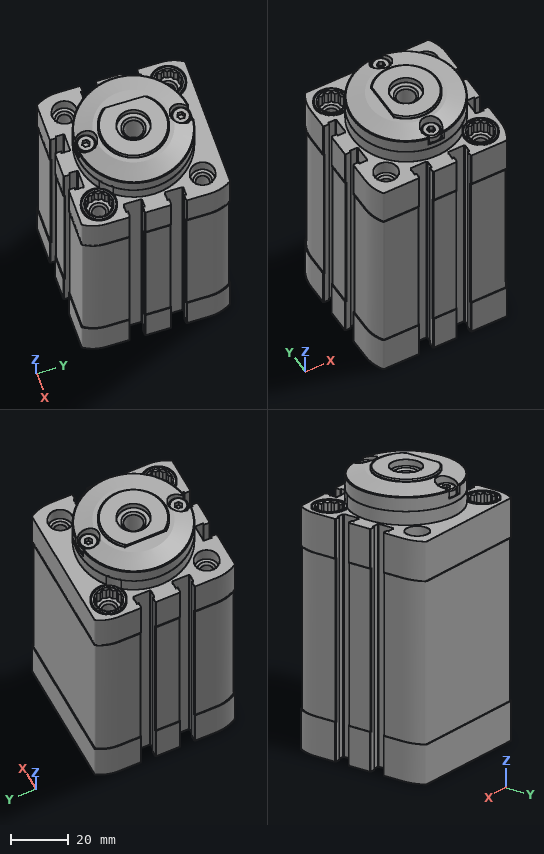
import cadquery as cq
import math

TOTAL_HEIGHT = 105.0
HOUSING_TOP = 91.6
COLLAR_TOP = 96.7
CAP_RIM = 102.2
CAP_TOP = 104.2
END_BLOCK_HEIGHT = 15.0

HOUSING_WIDTH = 54.5
HALF_WIDTH = HOUSING_WIDTH / 2
TUBE_INSET = 0.3
SIDE_FLAT_HALF = 19.0
FRONT_FLAT_HALF = 24.8
CORNER_ROUNDING = 0.7

SLOT_OFFSET = 7.6
SLOT_MOUTH = 5.5
SLOT_INNER = 6.8
SLOT_DEPTH = 5.5
SLOT_LIP = 2.3
SLOT_CHAMFER = 0.3
SLOT_SIDES = (0, -90, 90)

CORNER_OFFSET = 19.0
CORNER_THROUGH = 4.9
CORNER_CHAMFER_DIAMETER = 6.6
COUNTERBORE_DIAMETER = 9.0
COUNTERBORE_DEPTH = 5.4
HEAD_DIAMETER = 12.8
HEAD_GROOVE_INNER = 12.0
HEAD_GROOVE_DEPTH = 0.4
SOCKET_FLATS = 8.6
SOCKET_MOUTH = 10.4

COLLAR_DIAMETER = 42.5
CAP_DIAMETER = COLLAR_DIAMETER
CAP_EDGE_CHAMFER = 0.3
CAP_FLAT_DIAMETER = 28.6

ROD_DIAMETER = 25.0
ROD_FLAT = 9.6
ROD_CHAMFER = 0.5
ROD_BOTTOM = END_BLOCK_HEIGHT
ROD_RECESS_DIAMETER = 12.0
ROD_RECESS_DEPTH = 2.4
TAP_MOUTH = 8.6
TAP_DIAMETER = 7.0
TAP_DEPTH = 15.8
DRILL_POINT_ANGLE = 118

SCREW_OFFSET = 17.4
SCREW_SEAT = 98.9
SCREW_BORE = 8.0
SCREW_HEAD_DIAMETER = 7.0
SCREW_HEAD_HEIGHT = 2.8
SCREW_HEAD_CHAMFER = 0.5
SCREW_SHANK = 4.0
SCREW_LENGTH = 8.0
SCREW_HEX_FLATS = 2.5
SCREW_HEX_DEPTH = 2.0
WINDOW_INNER = 5.0
WINDOW_OUTER = 6.8
WINDOW_DEPTH = 0.7


def disc(diameter, bottom, top, x=0.0, y=0.0):
    """Upright cylinder between two levels."""
    return cq.Workplane("XY", origin=(x, y, bottom)).circle(diameter / 2).extrude(top - bottom)


def taper(bottom_diameter, top_diameter, bottom, top, x=0.0, y=0.0):
    """Upright cone frustum between two levels."""
    cone = cq.Solid.makeCone(bottom_diameter / 2, top_diameter / 2, top - bottom, cq.Vector(x, y, bottom))
    return cq.Workplane(cone)


def hexagon(across_flats, bottom, top, x=0.0, y=0.0, turn=0.0):
    """Upright hexagonal prism; at turn 0 two of its flats face +X and -X."""
    prism = cq.Workplane("XY").polygon(6, across_flats / math.cos(math.pi / 6)).extrude(top - bottom)
    return prism.rotate((0, 0, 0), (0, 0, 1), 30 + turn).translate((x, y, bottom))


def housing_block(inset, bottom, top):
    """Square block with bowed corners, drawn in from the full outline by inset."""
    side = HALF_WIDTH - inset
    end = FRONT_FLAT_HALF - inset
    rise = side - SIDE_FLAT_HALF
    bow = side - end
    bow_radius = (rise**2 + bow**2) / (2 * bow)
    half_turn = math.asin(rise / bow_radius) / 2
    mid_x = side - bow_radius * (1 - math.cos(half_turn))
    mid_y = SIDE_FLAT_HALF + bow_radius * math.sin(half_turn)
    outline = (
        cq.Workplane("XY", origin=(0, 0, bottom))
        .moveTo(side, -SIDE_FLAT_HALF)
        .lineTo(side, SIDE_FLAT_HALF)
        .threePointArc((mid_x, mid_y), (end, side))
        .lineTo(-end, side)
        .threePointArc((-mid_x, mid_y), (-side, SIDE_FLAT_HALF))
        .lineTo(-side, -SIDE_FLAT_HALF)
        .threePointArc((-mid_x, -mid_y), (-end, -side))
        .lineTo(end, -side)
        .threePointArc((mid_x, -mid_y), (side, -SIDE_FLAT_HALF))
        .close()
    )
    block = outline.extrude(top - bottom)
    return block.edges("|Z").edges("<Y or >Y").fillet(CORNER_ROUNDING)


def t_slot(x, face, bottom, top):
    """T-slot of the -Y side, cut in from a face at the given distance from the axis."""
    floor = -HALF_WIDTH + SLOT_DEPTH
    lip = -HALF_WIDTH + SLOT_LIP
    mouth = SLOT_MOUTH / 2
    wide_mouth = mouth + SLOT_CHAMFER
    inner = SLOT_INNER / 2
    right_side = [
        (wide_mouth, -face),
        (mouth, -face + SLOT_CHAMFER),
        (mouth, lip),
        (inner, lip),
        (inner, floor - SLOT_CHAMFER),
        (inner - SLOT_CHAMFER, floor),
    ]
    left_side = [(-across, y) for across, y in reversed(right_side)]
    slot = cq.Workplane("XY").polyline(right_side + left_side).close().extrude(top - bottom)
    return slot.translate((x, 0, bottom))


def profile_section(inset, bottom, top):
    """Length of the housing profile with the T-slots of its three slotted sides."""
    section = housing_block(inset, bottom, top)
    for turn in SLOT_SIDES:
        for x in (-SLOT_OFFSET, SLOT_OFFSET):
            slot = t_slot(x, HALF_WIDTH - inset, bottom, top)
            section = section.cut(slot.rotate((0, 0, 0), (0, 0, 1), turn))
    return section


def corner_passage(x, y, floor):
    """Through hole of a corner, with a chamfered start at the given floor level."""
    chamfer = (CORNER_CHAMFER_DIAMETER - CORNER_THROUGH) / 2
    hole = disc(CORNER_THROUGH, 0, floor, x, y)
    return hole.union(taper(CORNER_THROUGH, CORNER_CHAMFER_DIAMETER, floor - chamfer, floor, x, y))


def plain_corner(x, y):
    """Counterbored corner hole."""
    floor = HOUSING_TOP - COUNTERBORE_DEPTH
    return corner_passage(x, y, floor).union(disc(COUNTERBORE_DIAMETER, floor, HOUSING_TOP, x, y))


def socketed_corner(x, y):
    """Corner with a ring groove, a twelve-point socket and room for the head beside the collar."""
    floor = HOUSING_TOP - COUNTERBORE_DEPTH
    groove_floor = HOUSING_TOP - HEAD_GROOVE_DEPTH
    mouth_depth = (SOCKET_MOUTH - SOCKET_FLATS) / 2
    groove = disc(HEAD_DIAMETER, groove_floor, HOUSING_TOP, x, y).cut(
        taper(HEAD_DIAMETER, HEAD_GROOVE_INNER, groove_floor, HOUSING_TOP, x, y)
    )
    cutter = corner_passage(x, y, floor)
    for turn in (0, 30):
        cutter = cutter.union(hexagon(SOCKET_FLATS, floor, HOUSING_TOP, x, y, turn))
    cutter = cutter.union(taper(SOCKET_FLATS, SOCKET_MOUTH, HOUSING_TOP - mouth_depth, HOUSING_TOP, x, y))
    relief = disc(HEAD_DIAMETER, HOUSING_TOP, COLLAR_TOP, x, y)
    return [cutter, groove, relief]


def rod_shape():
    """D-shaped rod without its end details."""
    rod = disc(ROD_DIAMETER, ROD_BOTTOM, TOTAL_HEIGHT)
    rod = rod.faces(">Z").chamfer(ROD_CHAMFER)
    keep = cq.Workplane("XY").box(ROD_DIAMETER, ROD_DIAMETER, TOTAL_HEIGHT, centered=(False, True, False))
    return rod.intersect(keep.translate((-ROD_FLAT, 0, 0)))


def screw_shank(y):
    return disc(SCREW_SHANK, SCREW_SEAT - SCREW_LENGTH, SCREW_SEAT, 0, y)


def make_housing():
    tube_top = HOUSING_TOP - END_BLOCK_HEIGHT
    body = profile_section(0, 0, END_BLOCK_HEIGHT)
    body = body.union(profile_section(TUBE_INSET, END_BLOCK_HEIGHT, tube_top))
    body = body.union(profile_section(0, tube_top, HOUSING_TOP))
    body = body.union(disc(COLLAR_DIAMETER, HOUSING_TOP, COLLAR_TOP))
    for sign in (-1, 1):
        place = sign * CORNER_OFFSET
        body = body.cut(plain_corner(place, place))
        for cutter in socketed_corner(place, -place):
            body = body.cut(cutter)
        body = body.cut(screw_shank(sign * SCREW_OFFSET))
    return body.cut(rod_shape())


def screw_window():
    """Flared opening of the -Y screw bore through the cap's wall."""
    outer_y = -CAP_DIAMETER / 2
    inner_y = outer_y + WINDOW_DEPTH
    points = [
        (-WINDOW_OUTER / 2, outer_y),
        (WINDOW_OUTER / 2, outer_y),
        (WINDOW_INNER / 2, inner_y),
        (-WINDOW_INNER / 2, inner_y),
    ]
    return cq.Workplane("XY", origin=(0, 0, SCREW_SEAT)).polyline(points).close().extrude(CAP_TOP - SCREW_SEAT)


def make_cap():
    shoulder = CAP_RIM - CAP_EDGE_CHAMFER
    rim_diameter = CAP_DIAMETER - 2 * CAP_EDGE_CHAMFER
    cap = disc(CAP_DIAMETER, COLLAR_TOP, shoulder)
    cap = cap.union(taper(CAP_DIAMETER, rim_diameter, shoulder, CAP_RIM))
    cap = cap.union(taper(rim_diameter, CAP_FLAT_DIAMETER, CAP_RIM, CAP_TOP))
    cap = cap.cut(rod_shape())
    for sign in (-1, 1):
        y = sign * SCREW_OFFSET
        cap = cap.cut(disc(SCREW_BORE, SCREW_SEAT, CAP_TOP, 0, y))
        cap = cap.cut(screw_shank(y))
    for turn in (0, 180):
        cap = cap.cut(screw_window().rotate((0, 0, 0), (0, 0, 1), turn))
    return cap


def make_rod():
    recess_floor = TOTAL_HEIGHT - ROD_RECESS_DEPTH
    tap_floor = TOTAL_HEIGHT - TAP_DEPTH
    tap_chamfer = (TAP_MOUTH - TAP_DIAMETER) / 2
    point_height = TAP_DIAMETER / 2 / math.tan(math.radians(DRILL_POINT_ANGLE / 2))
    rod = rod_shape()
    rod = rod.cut(disc(ROD_RECESS_DIAMETER, recess_floor, TOTAL_HEIGHT))
    rod = rod.cut(taper(TAP_DIAMETER, TAP_MOUTH, recess_floor - tap_chamfer, recess_floor))
    rod = rod.cut(disc(TAP_DIAMETER, tap_floor, recess_floor))
    return rod.cut(taper(0, TAP_DIAMETER, tap_floor - point_height, tap_floor))


def make_screw(y):
    """Low-head hexagon socket screw standing on its seat in the cap."""
    head_top = SCREW_SEAT + SCREW_HEAD_HEIGHT
    head = disc(SCREW_HEAD_DIAMETER, SCREW_SEAT, head_top, 0, y)
    head = head.faces(">Z").chamfer(SCREW_HEAD_CHAMFER)
    head = head.cut(hexagon(SCREW_HEX_FLATS, head_top - SCREW_HEX_DEPTH, head_top, 0, y))
    return head.union(screw_shank(y))


housing = make_housing()
cap = make_cap()
rod = make_rod()
screws = [make_screw(y) for y in (-SCREW_OFFSET, SCREW_OFFSET)]

result = cq.Compound.makeCompound(
    [housing.val(), cap.val(), rod.val(), *[screw.val() for screw in screws]]
)